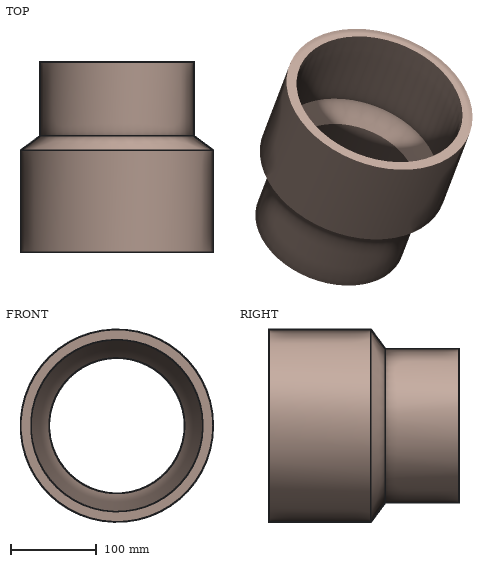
import cadquery as cq

large_diameter = 225.2
small_diameter = 180.2
large_bore = 200.9
small_bore = 157.9
total_length = 222.5

outer_cone_start = 119.4
outer_cone_end = outer_cone_start + 16.7

inner_cone_start = 106.5
inner_cone_end = inner_cone_start + 20.3

large_radius = large_diameter / 2
small_radius = small_diameter / 2
large_bore_radius = large_bore / 2
small_bore_radius = small_bore / 2

wall_section = (
    cq.Workplane("XY")
    .moveTo(large_bore_radius, 0)
    .lineTo(large_radius, 0)
    .lineTo(large_radius, outer_cone_start)
    .lineTo(small_radius, outer_cone_end)
    .lineTo(small_radius, total_length)
    .lineTo(small_bore_radius, total_length)
    .lineTo(small_bore_radius, inner_cone_end)
    .lineTo(large_bore_radius, inner_cone_start)
    .close()
)

result = wall_section.revolve(360, (0, 0, 0), (0, 1, 0))